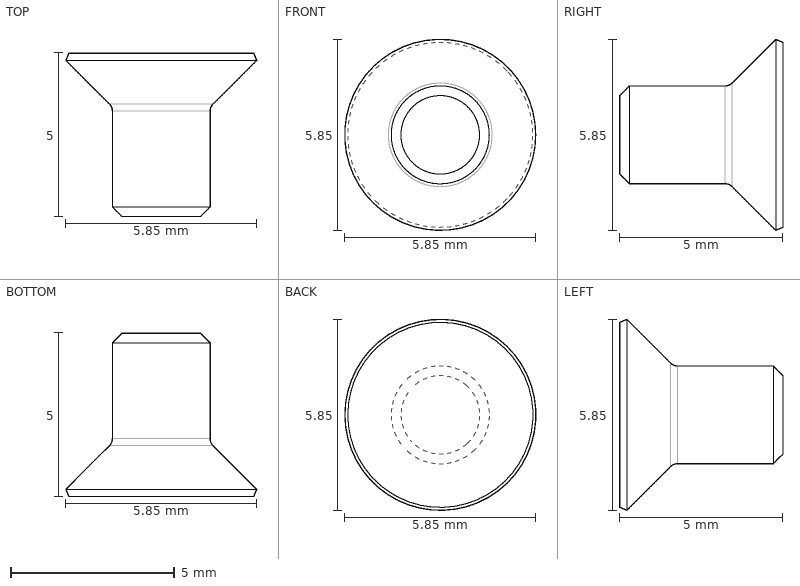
import cadquery as cq
import math

head_diameter = 5.85
shank_diameter = 3.0
total_length = 5.0
rim_height = 0.22
rim_inset = 0.095
neck_fillet = 0.3
tip_chamfer = 0.3
cone_angle = math.radians(45)

head_radius = head_diameter / 2
shank_radius = shank_diameter / 2

fillet_center_radius = shank_radius + neck_fillet


def fillet_radius_at(angle):
    """Distance from the axis to the fillet arc, angle measured from its shank end."""
    return fillet_center_radius - neck_fillet * math.cos(angle)


cone_end_radius = fillet_radius_at(cone_angle)
cone_end_y = -rim_height - (head_radius - cone_end_radius) / math.tan(cone_angle)
fillet_center_y = cone_end_y - neck_fillet * math.sin(cone_angle)
fillet_middle = (
    fillet_radius_at(cone_angle / 2),
    fillet_center_y + neck_fillet * math.sin(cone_angle / 2),
)

profile = (
    cq.Workplane("XY")
    .moveTo(0, 0)
    .lineTo(head_radius - rim_inset, 0)
    .lineTo(head_radius, -rim_height)
    .lineTo(cone_end_radius, cone_end_y)
    .threePointArc(fillet_middle, (shank_radius, fillet_center_y))
    .lineTo(shank_radius, -total_length + tip_chamfer)
    .lineTo(shank_radius - tip_chamfer, -total_length)
    .lineTo(0, -total_length)
    .close()
)

result = profile.revolve(360, (0, 0, 0), (0, 1, 0))